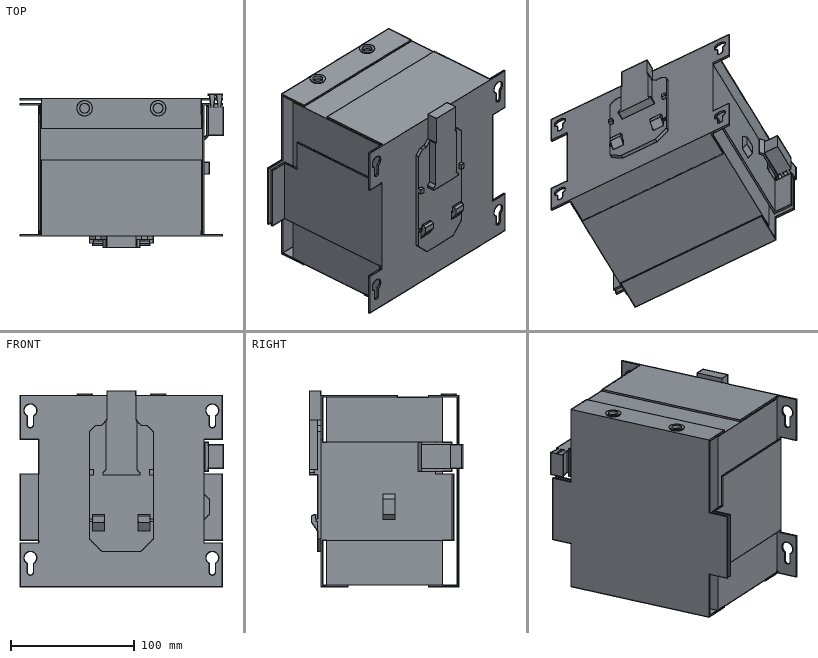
import cadquery as cq

SHEET = 1.5
EAR_HALF_WIDTH = 82.0
HEIGHT = 155.1
DEPTH = 111.7

CORE_HALF_WIDTH = 65.6
CORE_FRONT = 4.3
CORE_REAR = 98.5
COVER_HALF_WIDTH = 64.8
FRONT_TOP_FLANGE = 61.9
FRONT_BOTTOM_FLANGE = 21.9
REAR_FLANGE = 24.7

WALL_OUTER = CORE_HALF_WIDTH + SHEET
NOTCH_BOTTOM = 35.7
NOTCH_TOP = HEIGHT - NOTCH_BOTTOM
KEYHOLE_X = 73.7
KEYHOLE_LOWER_Z = 23.5
KEYHOLE_PITCH = 119.5
KEYHOLE_RADIUS = 5.1
KEYHOLE_SLOT_WIDTH = 5
KEYHOLE_DROP = 11.5

WALL_BOTTOM = 37.7
WALL_STEP_Z = 91.5
WALL_TOP = 117.3
WALL_STEP_Y = 93.0
WALL_REAR = 107.6
BUTTON_PROJECTION = 4.1
BUTTON_HEIGHT = 20.5
BUTTON_Z = 64.8
BUTTON_FRONT = 50.3
BUTTON_DEPTH = 9.7

CARRIER_BOTTOM = 93.6
CARRIER_OUTER = 70.5
CARRIER_BEND_Y = 81.3
CARRIER_BEND = 2.8
CARRIER_REAR = 106.1
BLOCK_OUTER = 82.5
BLOCK_BOTTOM = 95.9
BLOCK_TOP = 115.2
BLOCK_FRONT = 81.6
BLOCK_REAR = 104.8
CAP_INNER = 70.4
CAP_OUTER = 82.0
CAP_FRONT = 113.8
CAP_REAR = 115.2
CLAMP_POSTS_X = (73.7, 79.5)
CLAMP_POST_WIDTH_AT_CAP = 4.8
CLAMP_POST_WIDTH_AT_BLOCK = 2.3

GROMMET_X = 29.8
GROMMET_Y = 103.6
GROMMET_TOP_RADIUS = 6.3
GROMMET_BASE_RADIUS = 5.5
GROMMET_BORE_RADIUS = 4.0
GROMMET_HEIGHT = 1.3

CLIP_HALF_WIDTH = 26.0
CLIP_BOTTOM = 28.6
CLIP_SHOULDER = 130.6
CLIP_TOP = 135.0
CLIP_NECK = 16.3
CLIP_CHAMFER = 5
CLIP_LOWER_CHAMFER = 10.2
CLIP_THICKNESS = 2.8
TONGUE_HALF_WIDTH = 11.7
TONGUE_TOP = 158.7
SLIDE_DEPTH = 9.4
SLIDE_HALF_WIDTH = 12.5
SLIDE_BOTTOM = 90.6
SLIDE_FOOT_HALF_WIDTH = 15.0
SLIDE_FOOT_HEIGHT = 1.8
STOP_WIDTH = 3.3
STOP_DEPTH = 5.6
STOP_HEIGHT = 4.3
HOOK_X = 18.5
HOOK_WIDTH = 9.5
HOOK_BOTTOM = 45.2
HOOK_SLOPE_TOP = 52.3
HOOK_ROOT_TOP = 53.0
HOOK_TOP = 58.5
HOOK_CHAMFER_Y = 2.0
HOOK_CHAMFER_Z = 1.3
HOOK_INNER_DEPTH = 4.1
HOOK_OUTER_DEPTH = 7.7
RIB_TOP = 55.1


def box(x_range, y_range, z_range):
    """Axis-aligned box between two limits on each axis."""
    size = [end - start for start, end in (x_range, y_range, z_range)]
    corner = (x_range[0], y_range[0], z_range[0])
    return cq.Workplane("XY").box(*size, centered=False).translate(corner)


def wide_box(half_width, y_range, z_range):
    """Box centred on X."""
    return box((-half_width, half_width), y_range, z_range)


def mirrored_pair(shape):
    """The shape together with its mirror image across the X = 0 plane."""
    return shape.union(shape.mirror("YZ"))


def outward_plate(points, start, end):
    """Extrude an XZ outline between two depths in front of the mounting face."""
    return cq.Workplane("XZ").workplane(offset=start).polyline(points).close().extrude(end - start)


def symmetric_outline(right_side):
    """Complete an outline from its points on the +X side."""
    return right_side + [(-x, z) for x, z in reversed(right_side)]


def keyhole(x, z):
    head = cq.Workplane("XZ").center(x, z).circle(KEYHOLE_RADIUS).extrude(-SHEET)
    slot_end = z - KEYHOLE_DROP
    slot_half = KEYHOLE_SLOT_WIDTH / 2
    slot = box((x - slot_half, x + slot_half), (0, SHEET), (slot_end, z))
    slot_round = cq.Workplane("XZ").center(x, slot_end).circle(slot_half).extrude(-SHEET)
    return head.union(slot).union(slot_round)


def mounting_cover():
    plate = wide_box(EAR_HALF_WIDTH, (0, SHEET), (0, HEIGHT))
    notch = box((WALL_OUTER, EAR_HALF_WIDTH), (0, SHEET), (NOTCH_BOTTOM, NOTCH_TOP))
    plate = plate.cut(mirrored_pair(notch))
    for x in (-KEYHOLE_X, KEYHOLE_X):
        for z in (KEYHOLE_LOWER_Z, KEYHOLE_LOWER_Z + KEYHOLE_PITCH):
            plate = plate.cut(keyhole(x, z))
    top_flange = wide_box(COVER_HALF_WIDTH, (0, FRONT_TOP_FLANGE), (HEIGHT - SHEET, HEIGHT))
    bottom_flange = wide_box(COVER_HALF_WIDTH, (0, FRONT_BOTTOM_FLANGE), (0, SHEET))
    return plate.union(top_flange).union(bottom_flange)


def rear_cover():
    cover = wide_box(COVER_HALF_WIDTH, (DEPTH - SHEET, DEPTH), (0, HEIGHT))
    ears = wide_box(EAR_HALF_WIDTH, (DEPTH - SHEET, DEPTH), (WALL_BOTTOM, WALL_STEP_Z))
    cover = cover.union(ears)
    for bottom in (0, HEIGHT - SHEET):
        flange = wide_box(COVER_HALF_WIDTH, (DEPTH - REAR_FLANGE, DEPTH), (bottom, bottom + SHEET))
        cover = cover.union(flange)
    return cover


def side_wall():
    """Right-hand wall: tall towards the front, lower with an outward ear at the rear."""
    wall_x = (CORE_HALF_WIDTH, WALL_OUTER)
    tall = box(wall_x, (SHEET, WALL_STEP_Y), (WALL_BOTTOM, WALL_TOP))
    low = box(wall_x, (SHEET, WALL_REAR), (WALL_BOTTOM, WALL_STEP_Z))
    ear_x = (CORE_HALF_WIDTH, EAR_HALF_WIDTH)
    ear = box(ear_x, (WALL_REAR - SHEET, WALL_REAR), (WALL_BOTTOM, WALL_STEP_Z))
    return tall.union(low).union(ear)


def button():
    """Bevelled button on the outside of the right-hand wall."""
    half_height = BUTTON_HEIGHT / 2
    flat_half = half_height - BUTTON_PROJECTION
    outline = [
        (WALL_OUTER, BUTTON_Z - half_height),
        (WALL_OUTER + BUTTON_PROJECTION, BUTTON_Z - flat_half),
        (WALL_OUTER + BUTTON_PROJECTION, BUTTON_Z + flat_half),
        (WALL_OUTER, BUTTON_Z + half_height),
    ]
    bevelled = cq.Workplane("XZ").polyline(outline).close().extrude(-BUTTON_DEPTH)
    return bevelled.translate((0, BUTTON_FRONT, 0))


def clamp_post(x):
    """Post that narrows from the terminal cap towards the block."""
    cap_half = CLAMP_POST_WIDTH_AT_CAP / 2
    block_half = CLAMP_POST_WIDTH_AT_BLOCK / 2
    outline = [
        (x - block_half, BLOCK_REAR),
        (x + block_half, BLOCK_REAR),
        (x + cap_half, CAP_FRONT),
        (x - cap_half, CAP_FRONT),
    ]
    post = cq.Workplane("XY").workplane(offset=BLOCK_BOTTOM).polyline(outline).close()
    return post.extrude(BLOCK_TOP - BLOCK_BOTTOM)


def terminal_block():
    carrier_inner = CARRIER_OUTER - SHEET
    root_inner = carrier_inner - CARRIER_BEND
    carrier_outline = [
        (root_inner, CARRIER_BEND_Y - CARRIER_BEND),
        (root_inner + SHEET, CARRIER_BEND_Y - CARRIER_BEND),
        (CARRIER_OUTER, CARRIER_BEND_Y),
        (CARRIER_OUTER, CARRIER_REAR),
        (carrier_inner, CARRIER_REAR),
        (carrier_inner, CARRIER_BEND_Y + SHEET / 2),
        (root_inner, CARRIER_BEND_Y - CARRIER_BEND + SHEET / 2),
    ]
    carrier = cq.Workplane("XY").workplane(offset=CARRIER_BOTTOM).polyline(carrier_outline).close()
    carrier = carrier.extrude(WALL_TOP - CARRIER_BOTTOM)
    block_z = (BLOCK_BOTTOM, BLOCK_TOP)
    block = carrier.union(box((CARRIER_OUTER, BLOCK_OUTER), (BLOCK_FRONT, BLOCK_REAR), block_z))
    for post_x in CLAMP_POSTS_X:
        block = block.union(clamp_post(post_x))
    return block.union(box((CAP_INNER, CAP_OUTER), (CAP_FRONT, CAP_REAR), block_z))


def grommet(x):
    """Ring that widens upwards."""
    base = cq.Workplane("XY").workplane(offset=HEIGHT).center(x, GROMMET_Y).circle(GROMMET_BASE_RADIUS)
    return base.workplane(offset=GROMMET_HEIGHT).circle(GROMMET_TOP_RADIUS).loft(ruled=True)


def grommet_bore(x):
    bore = cq.Workplane("XY").workplane(offset=HEIGHT - SHEET).center(x, GROMMET_Y)
    return bore.circle(GROMMET_BORE_RADIUS).extrude(SHEET + GROMMET_HEIGHT)


def clip_hook():
    """Right-hand rail hook: a wedge that rises into an upright nose."""
    profile = [
        (-CLIP_THICKNESS, HOOK_BOTTOM),
        (-HOOK_OUTER_DEPTH, HOOK_SLOPE_TOP),
        (-HOOK_OUTER_DEPTH, HOOK_TOP - HOOK_CHAMFER_Z),
        (-HOOK_OUTER_DEPTH + HOOK_CHAMFER_Y, HOOK_TOP),
        (-HOOK_INNER_DEPTH, HOOK_TOP),
        (-HOOK_INNER_DEPTH, HOOK_ROOT_TOP),
        (-CLIP_THICKNESS, HOOK_ROOT_TOP),
    ]
    nose = cq.Workplane("YZ").polyline(profile).close().extrude(HOOK_WIDTH)
    nose = nose.translate((HOOK_X - HOOK_WIDTH / 2, 0, 0))
    rib_y = (-HOOK_INNER_DEPTH, -CLIP_THICKNESS)
    return nose.union(box((HOOK_X, CLIP_HALF_WIDTH), rib_y, (HOOK_ROOT_TOP, RIB_TOP)))


def rail_clip():
    lower_half_width = CLIP_HALF_WIDTH - CLIP_LOWER_CHAMFER
    neck_top = CLIP_NECK - (CLIP_TOP - CLIP_SHOULDER)
    base_outline = symmetric_outline([
        (lower_half_width, CLIP_BOTTOM),
        (CLIP_HALF_WIDTH, CLIP_BOTTOM + CLIP_LOWER_CHAMFER),
        (CLIP_HALF_WIDTH, CLIP_SHOULDER - CLIP_CHAMFER),
        (CLIP_HALF_WIDTH - CLIP_CHAMFER, CLIP_SHOULDER),
        (CLIP_NECK, CLIP_SHOULDER),
        (neck_top, CLIP_TOP),
    ])
    foot_flare = SLIDE_FOOT_HALF_WIDTH - SLIDE_HALF_WIDTH
    foot_top = SLIDE_BOTTOM + SLIDE_FOOT_HEIGHT
    slide_outline = symmetric_outline([
        (SLIDE_FOOT_HALF_WIDTH, SLIDE_BOTTOM),
        (SLIDE_FOOT_HALF_WIDTH, foot_top),
        (SLIDE_HALF_WIDTH, foot_top + foot_flare),
        (SLIDE_HALF_WIDTH, CLIP_TOP),
    ])
    clip = outward_plate(base_outline, 0, CLIP_THICKNESS)
    clip = clip.union(outward_plate(slide_outline, CLIP_THICKNESS, SLIDE_DEPTH))
    clip = clip.union(wide_box(TONGUE_HALF_WIDTH, (-SLIDE_DEPTH, 0), (CLIP_TOP, TONGUE_TOP)))
    stop = box(
        (CLIP_HALF_WIDTH - STOP_WIDTH, CLIP_HALF_WIDTH),
        (-STOP_DEPTH, -CLIP_THICKNESS),
        (SLIDE_BOTTOM, SLIDE_BOTTOM + STOP_HEIGHT),
    )
    return clip.union(mirrored_pair(stop)).union(mirrored_pair(clip_hook()))


core = wide_box(CORE_HALF_WIDTH, (CORE_FRONT, CORE_REAR), (SHEET, HEIGHT - SHEET))
result = core.union(mounting_cover()).union(rear_cover()).union(mirrored_pair(side_wall()))
result = result.union(button()).union(terminal_block()).union(rail_clip())
for grommet_x in (-GROMMET_X, GROMMET_X):
    result = result.union(grommet(grommet_x)).cut(grommet_bore(grommet_x))